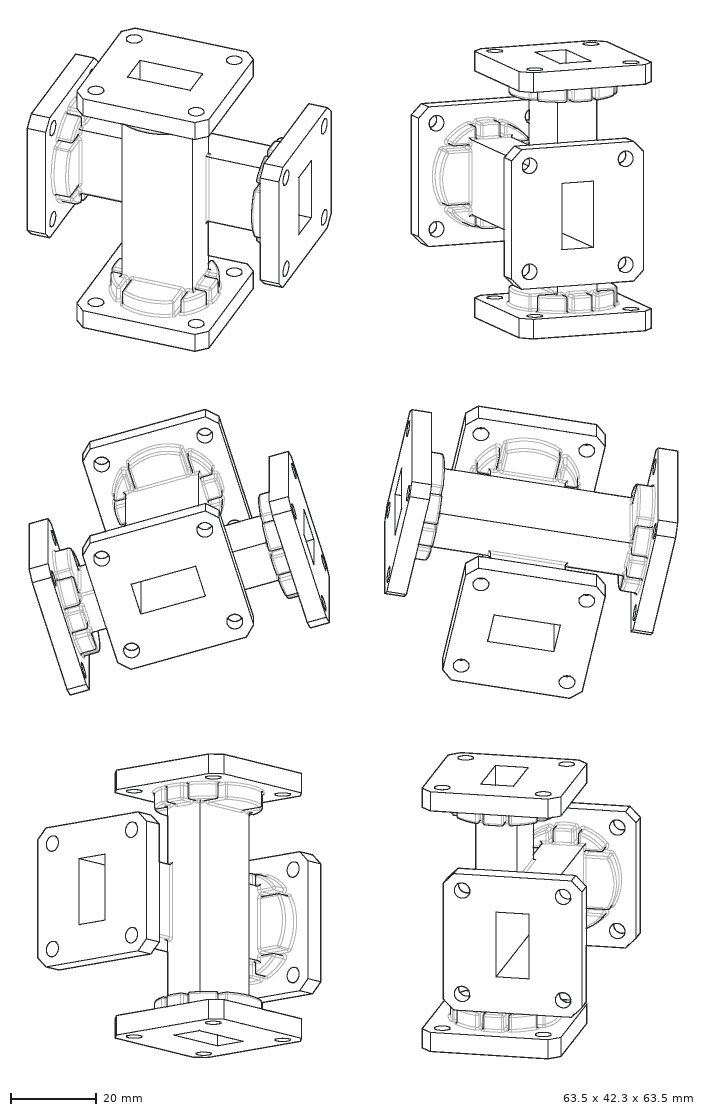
import cadquery as cq
import math

guide_length = 63.5
guide_spacing = 8.95

bore_width = 15.8
bore_height = 7.9
tube_width = 17.85
tube_height = 10.0

flange_side = 33.35
flange_thickness = 4.7
flange_chamfer = 2.55
hole_diameter = 3.7
hole_pitch_wide = 25.3
hole_pitch_narrow = 24.25

boss_radius = 12.7
boss_height = 3.95
slot_width = 1.15
slot_offset_wide = 7.05
slot_offset_narrow = 3.05

fillet_radius = 0.5
margin = 0.05

flange_inner = guide_length / 2 - flange_thickness
boss_inner = flange_inner - boss_height


def make_flange():
    """Chamfered square plate with four holes, on top of the upper end of a guide."""
    return (
        cq.Workplane("XY")
        .workplane(offset=flange_inner)
        .rect(flange_side, flange_side)
        .extrude(flange_thickness)
        .edges("|Z")
        .chamfer(flange_chamfer)
        .faces(">Z")
        .workplane()
        .rect(hole_pitch_wide, hole_pitch_narrow, forConstruction=True)
        .vertices()
        .hole(hole_diameter)
    )


def make_pads():
    """Round boss cut by two slots along X and two along Y."""
    pads = cq.Workplane("XY").workplane(offset=boss_inner).circle(boss_radius).extrude(boss_height)
    slot_along_y = cq.Workplane("XY").box(slot_width, 2 * boss_radius, guide_length)
    slot_along_x = cq.Workplane("XY").box(2 * boss_radius, slot_width, guide_length)
    for side in (-1, 1):
        pads = pads.cut(slot_along_y.translate((side * slot_offset_wide, 0, 0)))
        pads = pads.cut(slot_along_x.translate((0, side * slot_offset_narrow, 0)))
    return pads


def is_pad_edge(edge):
    """True for the edges that outline the pads and where they meet tube and flange."""
    center = edge.Center()
    at_pad_level = boss_inner - margin < center.z < flange_inner + margin
    return at_pad_level and math.hypot(center.x, center.y) < boss_radius + margin


def make_guide_end():
    """Upper half of a guide, solid inside: tube, pads and flange with the pad edges rounded."""
    tube = cq.Workplane("XY").rect(tube_width, tube_height).extrude(flange_inner)
    half = tube.union(make_pads()).union(make_flange())
    pad_edges = [edge for edge in half.edges().vals() if is_pad_edge(edge)]
    return half.newObject(pad_edges).fillet(fillet_radius)


def make_guide():
    """Complete guide along Z, not yet bored."""
    upper = make_guide_end()
    return upper.union(upper.mirror("XY"))


def make_bore():
    """Waveguide opening along the whole length of a guide."""
    return cq.Workplane("XY").box(bore_width, bore_height, guide_length)


def place_upright(shape):
    """Move a shape along Z to the guide at the front."""
    return shape.translate((0, -guide_spacing / 2, 0))


def place_crosswise(shape):
    """Turn a shape along Z onto X and move it to the guide at the back."""
    return shape.rotate((0, 0, 0), (0, 1, 0), 90).translate((0, guide_spacing / 2, 0))


guide = make_guide()
body = place_upright(guide).union(place_crosswise(guide))

overlap = tube_height - guide_spacing
crossing = cq.selectors.BoxSelector(
    (-tube_width / 2 - margin, -overlap / 2 - margin, -tube_width / 2 - margin),
    (tube_width / 2 + margin, overlap / 2 + margin, tube_width / 2 + margin),
)
arm_edge = cq.selectors.BoxSelector(
    (-boss_inner, -overlap / 2 - margin, -tube_width / 2 - margin),
    (-tube_width / 2 - margin, -overlap / 2 + margin, -tube_width / 2 + margin),
)
body = body.edges(crossing + arm_edge).fillet(fillet_radius)

bore = make_bore()
result = body.cut(place_upright(bore)).cut(place_crosswise(bore))